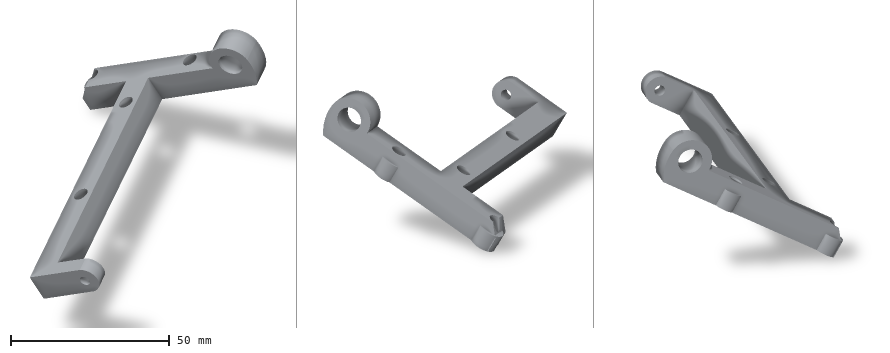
import cadquery as cq
import math

tilt = 30.0
thickness = 9.4
total_depth = 99.45

screw_diameter = 4.9
boss_radius = 4.3
boss_height = 6.1
boss_overhang = 1.3
end_screw_x = boss_radius
boss_screw_spacing = 38.2
arm_screw_y = (29.3, -12.5)

bar_start = 0.9
bar_end = 65.3
bar_depth = 8.8
bar_back = total_depth / 2 - boss_overhang
bar_front = bar_back - bar_depth
boss_screw_y = total_depth / 2 - boss_radius
bevel_length = 3.5
bevel_drop = 4.3

eye_x = 60.8
eye_z = 9.7
eye_radius = 7.2
eye_bore = 8.0
eye_blend_angle = 38.0 - tilt

arm_start = 20.2
arm_width = 8.6
arm_front = -total_depth / 2
foot_depth = 5.3
foot_pivot_x = 38.9
foot_radius = 4.8
foot_pivot_bore = 3.5


def plane_at(y):
    """XZ plane at the given Y, extruding toward -Y."""
    return cq.Workplane("XZ", origin=(0, y, 0))


def make_crossbar():
    """Bevelled bar carrying a round eye that blends tangentially into the lower bar corner."""
    angle = math.radians(eye_blend_angle)
    blend_x = eye_x + eye_radius * math.cos(angle)
    blend_z = eye_z + eye_radius * math.sin(angle)
    chord_x = bar_end - blend_x
    chord_z = -blend_z
    inward = -(chord_x * math.cos(angle) + chord_z * math.sin(angle))
    blend_radius = (chord_x**2 + chord_z**2) / (2 * inward)
    notch_x = eye_x - math.sqrt(eye_radius**2 - (eye_z - thickness) ** 2)
    return (
        plane_at(bar_back)
        .moveTo(bar_start, 0)
        .lineTo(bar_end, 0)
        .radiusArc((blend_x, blend_z), -blend_radius)
        .threePointArc((eye_x, eye_z + eye_radius), (notch_x, thickness))
        .lineTo(bar_start + bevel_length, thickness)
        .lineTo(bar_start, thickness - bevel_drop)
        .close()
        .extrude(bar_depth)
    )


def make_arm():
    return cq.Workplane("XY").box(
        arm_width, bar_front - arm_front, thickness, centered=False
    ).translate((arm_start, arm_front, 0))


def make_foot():
    half_thickness = thickness / 2
    round_start = foot_pivot_x + math.sqrt(foot_radius**2 - half_thickness**2)
    return (
        plane_at(arm_front + foot_depth)
        .moveTo(arm_start, 0)
        .lineTo(round_start, 0)
        .threePointArc((foot_pivot_x + foot_radius, half_thickness), (round_start, thickness))
        .lineTo(arm_start, thickness)
        .close()
        .extrude(foot_depth)
    )


def make_bore(x, z, diameter, back, depth):
    return plane_at(back).center(x, z).circle(diameter / 2).extrude(depth)


boss_points = [(end_screw_x + i * boss_screw_spacing, boss_screw_y) for i in range(2)]
arm_points = [(arm_start + arm_width / 2, y) for y in arm_screw_y]

bosses = cq.Workplane("XY").pushPoints(boss_points).circle(boss_radius).extrude(boss_height)
screw_holes = (
    cq.Workplane("XY").pushPoints(boss_points + arm_points).circle(screw_diameter / 2).extrude(thickness)
)
bracket = make_crossbar().union(make_arm()).union(make_foot()).union(bosses)
bracket = bracket.cut(screw_holes)
bracket = bracket.cut(make_bore(eye_x, eye_z, eye_bore, bar_back, bar_depth))
bracket = bracket.cut(
    make_bore(foot_pivot_x, thickness / 2, foot_pivot_bore, arm_front + foot_depth, foot_depth)
)
result = bracket.rotate((0, 0, 0), (0, 1, 0), -tilt)